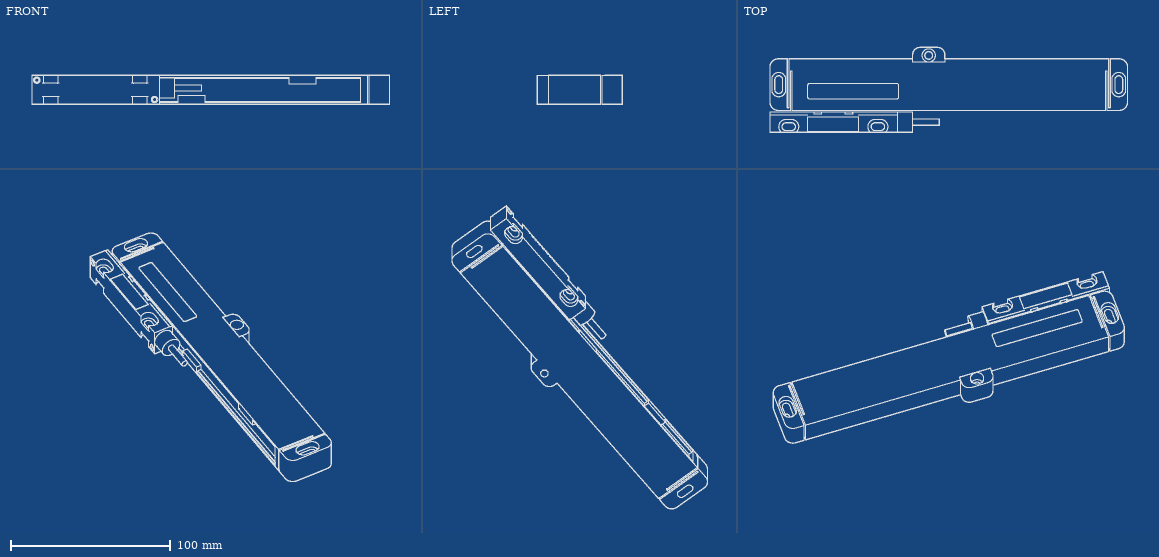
import cadquery as cq

LENGTH = 225.0
HEIGHT = 18.5
OVERALL_DEPTH = 53.5
STEP = 0.2

HOUSING_FRONT = 13.7
HOUSING_BACK = 46.4
HOUSING_MIDDLE = (HOUSING_FRONT + HOUSING_BACK) / 2
HOUSING_CORNER = 5.5

END_SLOT_INSET = 5.6
END_SLOT_LENGTH = 11.0
END_SLOT_WIDTH = 4.7
END_SLOT_BORE_LENGTH = 15.3
END_SLOT_BORE_WIDTH = 8.8
END_SLOT_BORE_DEPTH = 4.7

SLIT_WIDTH = 1.0
BACK_SLIT_INSET = 11.5
BACK_SLIT_END = 15.5
FRONT_SLIT_INSET = 13.5
FRONT_SLIT_END = 38.5

WINDOW_INSET = 18.2
WINDOW_LIP = 1.4
WINDOW_INNER_LIP = 2.0
WINDOW_OUTER_DEPTH = 1.1
WINDOW_DEPTH = 3.4
BLOCK_LENGTH = 17.0
BLOCK_HEIGHT = 5.6
LOWER_BLOCK_X = 100.4
UPPER_BLOCK_X = 170.0

PLATE_START = 23.8
PLATE_LENGTH = 57.2
PLATE_WIDTH = 9.7
PLATE_MIDDLE_Y = 25.9
PLATE_CORNER = 1.1

TAB_MIDDLE_X = 100.0
TAB_LENGTH = 20.5
TAB_FRONT = 44.0
TAB_CORNER = 5.0
TAB_HOLE_Y = 48.4
TAB_HOLE_DIAMETER = 4.7
TAB_BORE_DIAMETER = 8.3
TAB_BORE_DEPTH = 9.0

HEAD_LENGTH = 80.3
HEAD_DEPTH = 12.8
LEDGE_FRONT = 11.0
HEAD_SLOT_XS = (12.0, 68.0)
HEAD_SLOT_Y = 3.5
HEAD_SLOT_LENGTH = 8.3
HEAD_SLOT_WIDTH = 4.7
HEAD_BORE_LENGTH = 12.5
HEAD_BORE_WIDTH = 9.0
HEAD_BORE_DEPTH = 5.0

CHANNEL_START = 21.8
CHANNEL_END = 57.8
CHANNEL_RAMP = 2.0
LABEL_FRONT = 0.7
LABEL_BACK = 9.7

SET_SCREW_INSET = 3.2
SET_SCREW_PLACES = (
    (SET_SCREW_INSET, HEIGHT - SET_SCREW_INSET),
    (HEAD_LENGTH - SET_SCREW_INSET, SET_SCREW_INSET),
)
SET_SCREW_DIAMETER = 2.7
SET_SCREW_BORE_DIAMETER = 4.0
SET_SCREW_BORE_DEPTH = 1.1
SET_SCREW_DEPTH = 3.4
SET_SCREW_TIP_DEPTH = 1.1

BACK_RECESS_XS = (30.2, 49.7)
BACK_RECESS_Z = HEIGHT - 1.0
BACK_RECESS_DIAMETER = 5.0
BACK_RECESS_DEPTH = 1.1

GLAND_DIAMETER = HEAD_DEPTH
GLAND_LENGTH = 9.5
CABLE_DIAMETER = 4.0
CABLE_LENGTH = 16.9
CABLE_Z = 10.4
CABLE_Y = GLAND_DIAMETER / 2


def block(x_range, y_range, z_range):
    """Rectangular block between two places along each axis."""
    corners = list(zip(x_range, y_range, z_range))
    size = [high - low for low, high in zip(*corners)]
    return cq.Workplane("XY").box(*size, centered=False).translate(corners[0])


def upright_slot(x, y, length, width, z_range, angle=0):
    """Round-ended upright cutter, its long side along X turned by the angle."""
    bottom, top = z_range
    cutter = cq.Workplane("XY").workplane(offset=bottom).center(x, y)
    return cutter.slot2D(length, width, angle).extrude(top - bottom)


def mirrored_in_x(shape):
    """Copy of a shape at the other end of the housing."""
    return shape.mirror("YZ", (LENGTH / 2, 0, 0))


def end_slot():
    hole = upright_slot(END_SLOT_INSET, HOUSING_MIDDLE, END_SLOT_LENGTH, END_SLOT_WIDTH, (0, HEIGHT), 90)
    bore_range = (HEIGHT - END_SLOT_BORE_DEPTH, HEIGHT)
    bore = upright_slot(
        END_SLOT_INSET, HOUSING_MIDDLE, END_SLOT_BORE_LENGTH, END_SLOT_BORE_WIDTH, bore_range, 90
    )
    return hole.union(bore)


def flexure_slits():
    def slit(inset, y_range):
        return block((inset - SLIT_WIDTH / 2, inset + SLIT_WIDTH / 2), y_range, (0, HEIGHT))

    back_slit = slit(BACK_SLIT_INSET, (BACK_SLIT_END, HOUSING_BACK))
    front_slit = slit(FRONT_SLIT_INSET, (HOUSING_FRONT, FRONT_SLIT_END))
    return back_slit.union(front_slit)


def window():
    def opening(lip, depth):
        return block(
            (WINDOW_INSET, LENGTH - WINDOW_INSET),
            (HOUSING_FRONT, HOUSING_FRONT + depth),
            (lip, HEIGHT - lip),
        )

    def stop_block(middle_x, bottom):
        return block(
            (middle_x - BLOCK_LENGTH / 2, middle_x + BLOCK_LENGTH / 2),
            (HOUSING_FRONT, HOUSING_FRONT + WINDOW_DEPTH),
            (bottom, bottom + BLOCK_HEIGHT),
        )

    cutter = opening(WINDOW_LIP, WINDOW_OUTER_DEPTH).union(opening(WINDOW_INNER_LIP, WINDOW_DEPTH))
    cutter = cutter.cut(stop_block(LOWER_BLOCK_X, 0))
    return cutter.cut(stop_block(UPPER_BLOCK_X, HEIGHT - BLOCK_HEIGHT))


def name_plate_recess():
    recess = cq.Workplane("XY").box(PLATE_LENGTH, PLATE_WIDTH, STEP).edges("|Z").fillet(PLATE_CORNER)
    return recess.translate((PLATE_START + PLATE_LENGTH / 2, PLATE_MIDDLE_Y, HEIGHT - STEP / 2))


def tab_outline(top):
    """Tab from the base up to the given height, with rounded back corners."""
    x_range = (TAB_MIDDLE_X - TAB_LENGTH / 2, TAB_MIDDLE_X + TAB_LENGTH / 2)
    tab = block(x_range, (TAB_FRONT, OVERALL_DEPTH), (0, top))
    return tab.edges("|Z and >Y").fillet(TAB_CORNER)


def tab_hole():
    hole = cq.Workplane("XY").circle(TAB_HOLE_DIAMETER / 2).extrude(HEIGHT)
    bore = cq.Workplane("XY").circle(TAB_BORE_DIAMETER / 2).extrude(TAB_BORE_DEPTH)
    hole = hole.union(bore.translate((0, 0, HEIGHT - TAB_BORE_DEPTH)))
    return hole.translate((TAB_MIDDLE_X, TAB_HOLE_Y, 0))


def make_housing():
    housing = block((0, LENGTH), (HOUSING_FRONT, HOUSING_BACK), (0, HEIGHT))
    housing = housing.edges("|Z").fillet(HOUSING_CORNER)
    housing = housing.cut(tab_outline(HEIGHT)).union(tab_outline(HEIGHT - STEP)).cut(tab_hole())
    for end_cut in (end_slot(), flexure_slits()):
        housing = housing.cut(end_cut).cut(mirrored_in_x(end_cut))
    return housing.cut(window()).cut(name_plate_recess())


def head_slot(x):
    """Through slot with a wider bore from both faces, open to the front."""
    hole = upright_slot(x, HEAD_SLOT_Y, HEAD_SLOT_LENGTH, HEAD_SLOT_WIDTH, (0, HEIGHT))
    for bore_range in ((0, HEAD_BORE_DEPTH), (HEIGHT - HEAD_BORE_DEPTH, HEIGHT)):
        hole = hole.union(upright_slot(x, HEAD_SLOT_Y, HEAD_BORE_LENGTH, HEAD_BORE_WIDTH, bore_range))
    return hole


def set_screw_hole(x, z):
    """Counterbored blind hole with a conical bottom."""

    def drill(diameter, depth):
        return cq.Workplane("XZ").center(x, z).circle(diameter / 2).extrude(-depth)

    tip = cq.Solid.makeCone(
        SET_SCREW_DIAMETER / 2,
        0,
        SET_SCREW_TIP_DEPTH,
        pnt=cq.Vector(x, SET_SCREW_DEPTH, z),
        dir=cq.Vector(0, 1, 0),
    )
    bore = drill(SET_SCREW_BORE_DIAMETER, SET_SCREW_BORE_DEPTH)
    return drill(SET_SCREW_DIAMETER, SET_SCREW_DEPTH).union(bore).union(tip)


def back_recess(x):
    base = cq.Workplane("XZ", (x, HEAD_DEPTH, BACK_RECESS_Z))
    return base.circle(BACK_RECESS_DIAMETER / 2).extrude(BACK_RECESS_DEPTH)


def head_top_steps():
    """Lowered ledge along the back, sloped channel across the middle and deeper label pocket."""
    low = HEIGHT - STEP
    ledge = block((0, HEAD_LENGTH), (LEDGE_FRONT, HEAD_DEPTH), (low, HEIGHT))
    floor_start = CHANNEL_START + CHANNEL_RAMP
    floor_end = CHANNEL_END - CHANNEL_RAMP
    channel_profile = [(CHANNEL_START, HEIGHT), (floor_start, low), (floor_end, low), (CHANNEL_END, HEIGHT)]
    channel = cq.Workplane("XZ").polyline(channel_profile).close().extrude(-LEDGE_FRONT)
    label = block((floor_start, floor_end), (LABEL_FRONT, LABEL_BACK), (low - STEP, HEIGHT))
    return ledge.union(channel).union(label)


def gland_and_cable():
    base = cq.Workplane("YZ").workplane(offset=HEAD_LENGTH).center(CABLE_Y, CABLE_Z)
    gland = base.circle(GLAND_DIAMETER / 2).extrude(GLAND_LENGTH)
    cable = base.circle(CABLE_DIAMETER / 2).extrude(GLAND_LENGTH + CABLE_LENGTH)
    return gland.union(cable)


def make_reading_head():
    head = block((0, HEAD_LENGTH), (0, HEAD_DEPTH), (0, HEIGHT)).cut(head_top_steps())
    for x in HEAD_SLOT_XS:
        head = head.cut(head_slot(x))
    for x, z in SET_SCREW_PLACES:
        head = head.cut(set_screw_hole(x, z))
    for x in BACK_RECESS_XS:
        head = head.cut(back_recess(x))
    return head.union(gland_and_cable())


housing = make_housing()
reading_head = make_reading_head()
result = cq.Compound.makeCompound([housing.val(), reading_head.val()])